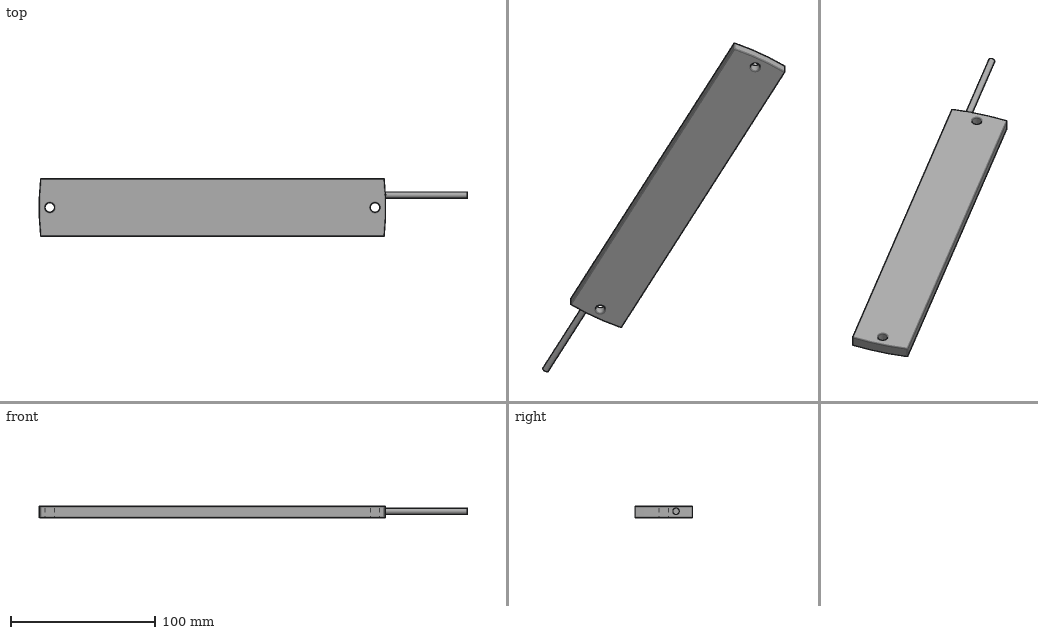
import cadquery as cq

plate_length = 240.0
plate_width = 40.0
plate_thickness = 8.0
end_bow = 1.1
edge_radius = 0.5

hole_diameter = 6.4
hole_spacing = 225.0

overall_length = 296.39
cable_diameter = 4.5
cable_y = 8.5
cable_z = 0.5

crown_x = plate_length / 2
corner_x = crown_x - end_bow


def make_plate():
    """Bar with bowed ends, a through hole near each end and rounded edges."""
    half_width = plate_width / 2
    blank = (
        cq.Workplane("XY")
        .workplane(offset=-plate_thickness / 2)
        .moveTo(-corner_x, -half_width)
        .lineTo(corner_x, -half_width)
        .threePointArc((crown_x, 0), (corner_x, half_width))
        .lineTo(-corner_x, half_width)
        .threePointArc((-crown_x, 0), (-corner_x, -half_width))
        .close()
        .extrude(plate_thickness)
        .edges("|Z")
        .fillet(edge_radius)
    )
    drilled = (
        blank.faces(">Z")
        .workplane(origin=(0, 0, 0))
        .pushPoints([(-hole_spacing / 2, 0), (hole_spacing / 2, 0)])
        .hole(hole_diameter)
    )
    return drilled.faces("<Z or >Z").edges().fillet(edge_radius)


def make_cable(plate):
    """Round cable whose inner end is trimmed to sit against the plate's bowed end."""
    cable_end_x = overall_length - crown_x
    rod = (
        cq.Workplane("YZ")
        .workplane(offset=corner_x)
        .center(cable_y, cable_z)
        .circle(cable_diameter / 2)
        .extrude(cable_end_x - corner_x)
    )
    return rod.cut(plate)


plate = make_plate()
cable = make_cable(plate)

result = cq.Compound.makeCompound([plate.solids().val(), cable.solids().val()])